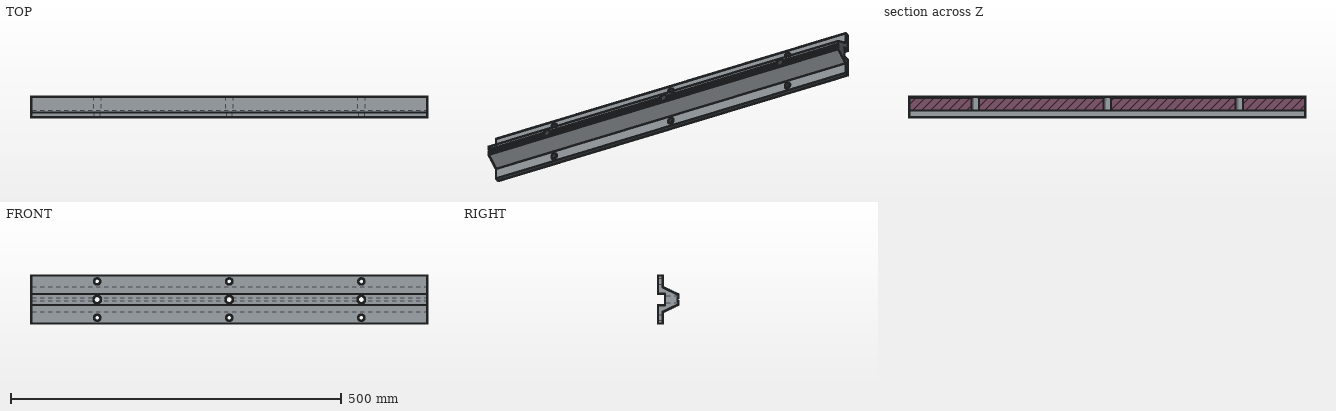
import cadquery as cq

LENGTH = 599.5
DEPTH = 31.46
HEIGHT = 73.0

FLANGE_THICKNESS = 7.6
SLOT_WIDTH = 17.0
SLOT_DEPTH = 10.5
ROOT_HEIGHT = 37.75
NOSE_HEIGHT = 15.0
NOTCH_WIDTH = 4.5
NOTCH_DEPTH = 1.5

HOLE_PITCH = 200.0
HOLE_COUNT = 3
FLANGE_HOLE_DIAMETER = 9.0
FLANGE_HOLE_SPACING = 55.0
CENTRE_HOLE_DIAMETER = 11.0

FRONT = -DEPTH / 2
BACK = DEPTH / 2


def rail_body():
    """Extrude the symmetric hat-shaped section along X."""
    upper_half = [
        (FRONT + SLOT_DEPTH, SLOT_WIDTH / 2),
        (FRONT, SLOT_WIDTH / 2),
        (FRONT, HEIGHT / 2),
        (FRONT + FLANGE_THICKNESS, HEIGHT / 2),
        (FRONT + FLANGE_THICKNESS, ROOT_HEIGHT / 2),
        (BACK, NOSE_HEIGHT / 2),
        (BACK, NOTCH_WIDTH / 2),
        (BACK - NOTCH_DEPTH, NOTCH_WIDTH / 2),
    ]
    lower_half = [(y, -z) for y, z in reversed(upper_half)]
    section = cq.Workplane("YZ").polyline(upper_half + lower_half).close()
    return section.extrude(LENGTH / 2, both=True)


def hole_row(diameter, z):
    """Cylinders through the full depth, evenly pitched along X at height z."""
    row = cq.Workplane("XZ", origin=(0, BACK, z))
    return row.rarray(HOLE_PITCH, 1, HOLE_COUNT, 1).circle(diameter / 2).extrude(DEPTH)


result = rail_body().cut(hole_row(CENTRE_HOLE_DIAMETER, 0))
for side in (-1, 1):
    result = result.cut(hole_row(FLANGE_HOLE_DIAMETER, side * FLANGE_HOLE_SPACING / 2))